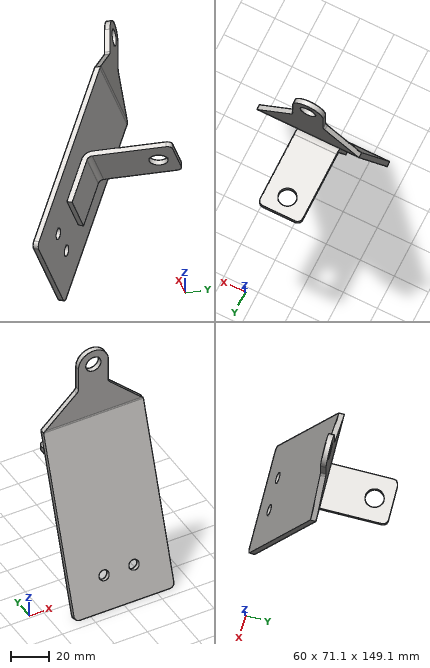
import cadquery as cq
import math


overall_depth = 71.05
overall_height = 149.07
plate_width = 60.0

thickness = 3.0
inner_bend_radius = 3.0
outer_bend_radius = inner_bend_radius + thickness
corner_radius = 3.0

tab_height = 43.0
tab_width = 18.0
tab_radius = tab_width / 2
tab_hole_diameter = 9.0
neck_length = 15.0
neck_fillet_radius = 3.0

plate_tilt = 18.0
plate_hole_diameter = 6.0
plate_hole_spacing = 18.0
plate_hole_from_end = 20.0

bracket_width = 25.0
bracket_bend_offset = 45.8
pad_length = 26.0
lug_hole_diameter = 10.0
lug_hole_from_end = 10.0

down = 270.0
forward = 180.0
down_slope = down - plate_tilt
plate_back_normal = down_slope + 90.0

sin_tilt = math.sin(math.radians(plate_tilt))
cos_tilt = math.cos(math.radians(plate_tilt))
plate_length = (overall_height - tab_height - outer_bend_radius * sin_tilt) / cos_tilt


def move(point, angle, distance):
    """Point reached by travelling a distance at an angle in the YZ plane."""
    radians = math.radians(angle)
    return (point[0] + distance * math.cos(radians), point[1] + distance * math.sin(radians))


plate_bend_center = (-outer_bend_radius, 0.0)
plate_back_start = move(plate_bend_center, plate_back_normal, outer_bend_radius)
plate_back_end = move(plate_back_start, down_slope, plate_length)
plate_front_end = move(plate_back_end, plate_back_normal, -thickness)
bracket_bend_center = move(
    move(plate_back_start, down_slope, bracket_bend_offset), plate_back_normal, outer_bend_radius
)
lug_end = plate_front_end[0] + overall_depth
lug_length = lug_end - bracket_bend_center[0]


def bent_strip(bend_center, start_angle, end_angle, first_length, second_length, width):
    """Strip with two flat arms joined by one bend, centred on X."""
    turn = end_angle - start_angle
    outward = -math.copysign(90.0, turn)

    def bend_point(radius, fraction):
        return move(bend_center, start_angle + fraction * turn + outward, radius)

    outer_start = bend_point(outer_bend_radius, 0)
    outer_end = bend_point(outer_bend_radius, 1)
    inner_start = bend_point(inner_bend_radius, 0)
    inner_end = bend_point(inner_bend_radius, 1)
    return (
        cq.Workplane("YZ")
        .moveTo(*move(outer_start, start_angle, -first_length))
        .lineTo(*outer_start)
        .threePointArc(bend_point(outer_bend_radius, 0.5), outer_end)
        .lineTo(*move(outer_end, end_angle, second_length))
        .lineTo(*move(inner_end, end_angle, second_length))
        .lineTo(*inner_end)
        .threePointArc(bend_point(inner_bend_radius, 0.5), inner_start)
        .lineTo(*move(inner_start, start_angle, -first_length))
        .close()
        .extrude(width / 2, both=True)
    )


def trim_block():
    """Round-topped tab flaring to the plate width, as a block deep enough to trim the plate."""
    half_width = plate_width / 2
    tab_center_z = tab_height - tab_radius
    neck_z = tab_center_z - neck_length
    shoulder_z = -inner_bend_radius * sin_tilt
    bottom_z = tab_height - overall_height
    block = (
        cq.Workplane("XZ")
        .moveTo(-half_width, bottom_z)
        .lineTo(half_width, bottom_z)
        .lineTo(half_width, shoulder_z)
        .lineTo(tab_radius, neck_z)
        .lineTo(tab_radius, tab_center_z)
        .threePointArc((0, tab_height), (-tab_radius, tab_center_z))
        .lineTo(-tab_radius, neck_z)
        .lineTo(-half_width, shoulder_z)
        .close()
        .extrude(overall_depth, both=True)
    )
    for side in (-1, 1):
        neck_corner = cq.selectors.NearestToPointSelector((side * tab_radius, 0, neck_z))
        block = block.edges("|Y").edges(neck_corner).fillet(neck_fillet_radius)
    return block


def tab_hole():
    return (
        cq.Workplane("XZ")
        .center(0, tab_height - tab_radius)
        .circle(tab_hole_diameter / 2)
        .extrude(thickness)
    )


def plate_holes():
    """Pair of holes square to the sloping plate, near its lower end."""
    hole_y, hole_z = move(plate_back_end, down_slope, -plate_hole_from_end)
    back_face = cq.Plane(
        origin=(0, hole_y, hole_z),
        xDir=(1, 0, 0),
        normal=(0, -cos_tilt, sin_tilt),
    )
    return (
        cq.Workplane(back_face)
        .rarray(plate_hole_spacing, 1, 2, 1)
        .circle(plate_hole_diameter / 2)
        .extrude(thickness)
    )


def plate():
    strip = bent_strip(plate_bend_center, down, down_slope, tab_height, plate_length, plate_width)
    lower_end = cq.selectors.DirectionMinMaxSelector(cq.Vector(0, -sin_tilt, -cos_tilt))
    rounded = strip.faces(lower_end).edges("not |X").fillet(corner_radius)
    return rounded.intersect(trim_block()).cut(tab_hole()).cut(plate_holes())


def bracket():
    strip = bent_strip(
        bracket_bend_center, forward, down_slope, lug_length, pad_length, bracket_width
    )
    lug_hole = (
        cq.Workplane("XY", origin=(0, lug_end - lug_hole_from_end, bracket_bend_center[1]))
        .circle(lug_hole_diameter / 2)
        .extrude(outer_bend_radius)
    )
    return strip.faces(">Y").edges("|Z").fillet(corner_radius).cut(lug_hole)


result = plate().union(bracket())